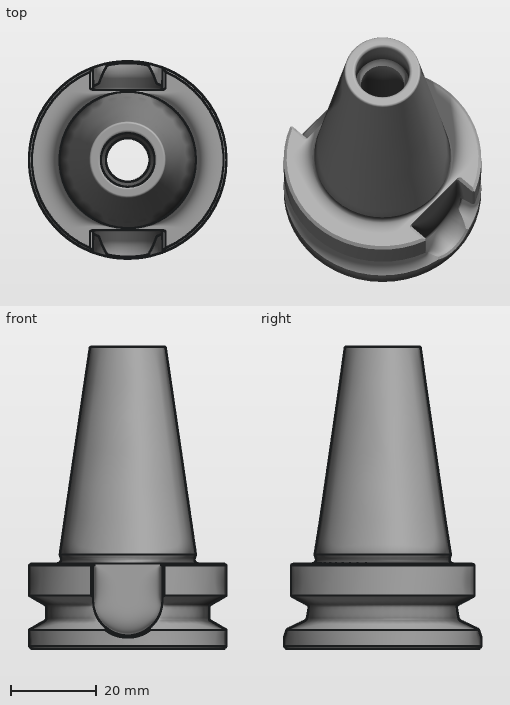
import cadquery as cq
import math

TOTAL_HEIGHT = 70.4
GAUGE_HEIGHT = 22.0
GAUGE_RADIUS = 31.75 / 2
TAPER_RATIO = 7 / 24
TIP_RADIUS = GAUGE_RADIUS - (TOTAL_HEIGHT - GAUGE_HEIGHT) * TAPER_RATIO / 2
TIP_FILLET = 0.5

NECK_UNDERCUT_ANGLE = 19.0
NECK_FILLET = 0.85

FLANGE_RADIUS = 46.0 / 2
FLANGE_HEIGHT = 20.0
FLANGE_CHAMFER_WIDTH = 0.7
FLANGE_CHAMFER_HEIGHT = 0.5
BASE_CHAMFER = 0.7
GROOVE_RADIUS = 19.0
GROOVE_MIDDLE = 8.5
GROOVE_MOUTH_WIDTH = 8.0
GROOVE_FLANK_ANGLE = 30.0
GROOVE_FILLET = 0.5

SLOT_WIDTH = 16.1
SLOT_RADIUS = SLOT_WIDTH / 2
SLOT_FLOOR_OFFSET = 16.3
SLOT_CENTER_HEIGHT = 11.25
SLOT_FLOOR_FILLET = 0.5
SLOT_EDGE_CHAMFER = 0.5
SLOT_TOP_RADIUS = SLOT_RADIUS + FLANGE_CHAMFER_WIDTH

BORE_RADIUS = 10.11 / 2
PILOT_RADIUS = 12.5 / 2
PILOT_DEPTH = 7.0
PILOT_FLOOR_ANGLE = 90.0
PILOT_MOUTH_FILLET = 0.7

EDGE_TOLERANCE = 0.01


def fillet_rim(body, radius, height, fillet_radius):
    """Fillet the one circular edge found at the given radius and height."""
    reach = radius + EDGE_TOLERANCE
    edge_box = cq.selectors.BoxSelector(
        (-reach, -reach, height - EDGE_TOLERANCE),
        (reach, reach, height + EDGE_TOLERANCE),
        boundingbox=True,
    )
    return body.edges(edge_box).fillet(fillet_radius)


def make_body():
    """Revolve the outer outline: base, grooved flange, neck and taper."""
    flank_height = (FLANGE_RADIUS - GROOVE_RADIUS) * math.tan(math.radians(GROOVE_FLANK_ANGLE))
    mouth_bottom = GROOVE_MIDDLE - GROOVE_MOUTH_WIDTH / 2
    mouth_top = GROOVE_MIDDLE + GROOVE_MOUTH_WIDTH / 2
    neck_height = GAUGE_HEIGHT - FLANGE_HEIGHT
    neck_root_radius = GAUGE_RADIUS - neck_height * math.tan(math.radians(NECK_UNDERCUT_ANGLE))
    outline = (
        cq.Workplane("XZ")
        .moveTo(0, 0)
        .lineTo(FLANGE_RADIUS - BASE_CHAMFER, 0)
        .lineTo(FLANGE_RADIUS, BASE_CHAMFER)
        .lineTo(FLANGE_RADIUS, mouth_bottom)
        .lineTo(GROOVE_RADIUS, mouth_bottom + flank_height)
        .lineTo(GROOVE_RADIUS, mouth_top - flank_height)
        .lineTo(FLANGE_RADIUS, mouth_top)
        .lineTo(FLANGE_RADIUS, FLANGE_HEIGHT - FLANGE_CHAMFER_HEIGHT)
        .lineTo(FLANGE_RADIUS - FLANGE_CHAMFER_WIDTH, FLANGE_HEIGHT)
        .lineTo(neck_root_radius, FLANGE_HEIGHT)
        .lineTo(GAUGE_RADIUS, GAUGE_HEIGHT)
        .lineTo(TIP_RADIUS, TOTAL_HEIGHT)
        .lineTo(0, TOTAL_HEIGHT)
        .close()
    )
    body = outline.revolve(360, (0, 0, 0), (0, 1, 0))
    body = body.faces(">Z").edges().fillet(TIP_FILLET)
    body = fillet_rim(body, neck_root_radius, FLANGE_HEIGHT, NECK_FILLET)
    body = fillet_rim(body, GROOVE_RADIUS, mouth_bottom + flank_height, GROOVE_FILLET)
    return fillet_rim(body, GROOVE_RADIUS, mouth_top - flank_height, GROOVE_FILLET)


def make_slot_cutter():
    """Round-ended key slot on the -Y side, with a chamfered top and a filleted floor outline."""
    flare_start = FLANGE_HEIGHT - FLANGE_CHAMFER_HEIGHT
    cutter = (
        cq.Workplane("XZ", origin=(0, -SLOT_FLOOR_OFFSET, 0))
        .moveTo(-SLOT_TOP_RADIUS, GAUGE_HEIGHT)
        .lineTo(-SLOT_TOP_RADIUS, FLANGE_HEIGHT)
        .lineTo(-SLOT_RADIUS, flare_start)
        .lineTo(-SLOT_RADIUS, SLOT_CENTER_HEIGHT)
        .threePointArc((0, SLOT_CENTER_HEIGHT - SLOT_RADIUS), (SLOT_RADIUS, SLOT_CENTER_HEIGHT))
        .lineTo(SLOT_RADIUS, flare_start)
        .lineTo(SLOT_TOP_RADIUS, FLANGE_HEIGHT)
        .lineTo(SLOT_TOP_RADIUS, GAUGE_HEIGHT)
        .close()
        .extrude(FLANGE_RADIUS)
    )
    return cutter.faces(">Y").edges("not >Z").fillet(SLOT_FLOOR_FILLET)


def make_bore():
    """Through bore opening into a wider pilot with a conical floor and a rounded mouth."""
    pilot_floor = TOTAL_HEIGHT - PILOT_DEPTH
    cone_depth = (PILOT_RADIUS - BORE_RADIUS) / math.tan(math.radians(PILOT_FLOOR_ANGLE / 2))
    return (
        cq.Workplane("XZ")
        .moveTo(0, 0)
        .lineTo(BORE_RADIUS, 0)
        .lineTo(BORE_RADIUS, pilot_floor - cone_depth)
        .lineTo(PILOT_RADIUS, pilot_floor)
        .lineTo(PILOT_RADIUS, TOTAL_HEIGHT - PILOT_MOUTH_FILLET)
        .radiusArc((PILOT_RADIUS + PILOT_MOUTH_FILLET, TOTAL_HEIGHT), PILOT_MOUTH_FILLET)
        .lineTo(0, TOTAL_HEIGHT)
        .close()
        .revolve(360, (0, 0, 0), (0, 1, 0))
    )


def chamfer_slot_rims(body):
    """Chamfer the slot edges that lie on the outer cylinder of the flange."""
    rim_bottom = (SLOT_CENTER_HEIGHT - SLOT_RADIUS) - SLOT_EDGE_CHAMFER
    rim_top = FLANGE_HEIGHT - FLANGE_CHAMFER_HEIGHT
    wall_reach = math.sqrt(FLANGE_RADIUS**2 - SLOT_RADIUS**2)
    rim_inner = wall_reach - SLOT_EDGE_CHAMFER
    rim_outer = FLANGE_RADIUS + SLOT_EDGE_CHAMFER
    for side in (-1, 1):
        rims = cq.selectors.BoxSelector(
            (-SLOT_TOP_RADIUS, side * rim_inner, rim_bottom),
            (SLOT_TOP_RADIUS, side * rim_outer, rim_top),
        )
        body = body.edges(rims).chamfer(SLOT_EDGE_CHAMFER)
    return body


body = make_body()
for turn in (0, 180):
    body = body.cut(make_slot_cutter().rotate((0, 0, 0), (0, 0, 1), turn))
body = chamfer_slot_rims(body)
result = body.cut(make_bore())